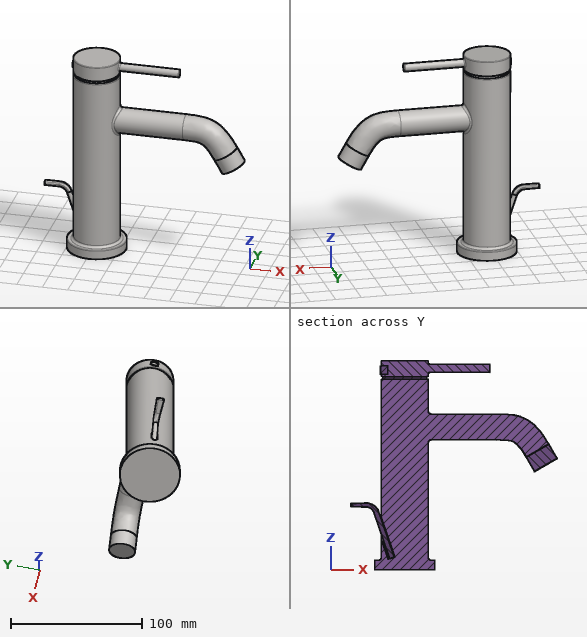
import cadquery as cq
import math

column_radius = 18.0
column_top = 145.5
flange_radius = 23.0
flange_height = 7.7
foot_fillet = 1.9
edge_round = 0.5

total_height = 159.5
neck_radius = 16.9
neck_height = 1.9
cap_bottom = column_top + neck_height

lever_radius = 3.2
lever_height = 153.6
lever_end = 65.0
lever_fillet = 1.0

button_radius = 3.0
button_height = 152.3
button_depth = 4.8
button_proud = 0.5

spout_radius = 10.0
spout_height = 109.0
spout_root_fillet = 1.9
elbow_start = 69.7
elbow_leg = 21.0
elbow_angle = 60
elbow_apex_offset = 3.8
nozzle_length = 12.5

grip_tip = -41.2
grip_height = 49.5
grip_tip_width = 5.9
grip_tip_thickness = 2.5
grip_tip_corner = 1.0
grip_tip_round = 0.6
grip_plan_round = 1.6
grip_root_width = 4.6
grip_root_thickness = 3.2
grip_root_corner = 1.0
bend_corner = -23.6
bend_radius = 8
rod_angle = 71
rod_radius = 2.0
rod_flat = 0.2
rod_length = 36.7
rod_hole_radius = 2.5
rod_hole_offset = 0.4

pick_margin = 0.5

along_x = cq.Vector(1, 0, 0)


def downward(angle):
    """Unit vector in the XZ plane, pointing to +X and turned down by the angle in degrees."""
    return cq.Vector(math.cos(math.radians(angle)), 0, -math.sin(math.radians(angle)))


def bar(start, direction, radius, length):
    """Round bar from a point along a direction."""
    return cq.Workplane(cq.Solid.makeCylinder(radius, length, start, direction))


def disc(bottom, radius, height):
    """Upright disc on the column axis."""
    return cq.Workplane(origin=(0, 0, bottom)).circle(radius).extrude(height)


def round_rims(shape, chosen_faces):
    """Round the edges of the chosen end faces."""
    return shape.faces(chosen_faces).edges().fillet(edge_round)


def fillet_edges_in_box(shape, low, high, radius):
    """Fillet the edges that lie wholly inside a box, given by two opposite corners."""
    low_corner = [value - pick_margin for value in low]
    high_corner = [value + pick_margin for value in high]
    selector = cq.selectors.BoxSelector(low_corner, high_corner, boundingbox=True)
    return shape.edges(selector).fillet(radius)


def fillet_arm_root(shape, arm_height, arm_radius, radius):
    """Fillet the curve where an arm along +X leaves a round wall of the column's radius."""
    low = (0, -arm_radius, arm_height - arm_radius)
    high = (column_radius, arm_radius, arm_height + arm_radius)
    return fillet_edges_in_box(shape, low, high, radius)


elbow_begin = cq.Vector(elbow_start, 0, spout_height)
elbow_corner = elbow_begin + along_x * elbow_leg
nozzle_direction = downward(elbow_angle)
elbow_end = elbow_corner + nozzle_direction * elbow_leg
elbow_apex = elbow_corner + downward(elbow_angle / 2 + 90) * elbow_apex_offset

half_bend = math.radians(rod_angle / 2)
bend_leg = bend_radius * math.tan(half_bend)
bend_apex_offset = bend_radius / math.cos(half_bend) - bend_radius
rod_direction = downward(rod_angle)
grip_end = cq.Vector(grip_tip, 0, grip_height)
bend_vertex = cq.Vector(bend_corner, 0, grip_height)
bend_begin = bend_vertex - along_x * bend_leg
bend_apex = bend_vertex + downward(rod_angle / 2 + 90) * bend_apex_offset
bend_end = bend_vertex + rod_direction * bend_leg


def make_column():
    """Column on its flange, with a fillet round the foot."""
    flange = round_rims(disc(0, flange_radius, flange_height), ">Z")
    column = round_rims(disc(0, column_radius, column_top), ">Z")
    low = (-column_radius, -column_radius, flange_height)
    high = (column_radius, column_radius, flange_height)
    return fillet_edges_in_box(flange.union(column), low, high, foot_fillet)


def make_elbow():
    """Bent end of the spout, swept along a smooth curve."""
    stations = [(point.x, point.z) for point in (elbow_begin, elbow_apex, elbow_end)]
    path = cq.Workplane("XZ").spline(stations, tangents=[(1, 0), (nozzle_direction.x, nozzle_direction.z)])
    return cq.Workplane("YZ", origin=elbow_begin.toTuple()).circle(spout_radius).sweep(path)


def make_rod_hole():
    """Blind hole for the pop-up rod, as deep as the rod and set a little below its axis."""
    offset = downward(rod_angle + 90) * rod_hole_offset
    return bar(bend_end + offset, rod_direction, rod_hole_radius, rod_length)


def make_body():
    """Column and spout in one piece, with the hole for the pop-up rod."""
    spout = bar(cq.Vector(0, 0, spout_height), along_x, spout_radius, elbow_start)
    body = make_column().union(spout)
    body = fillet_arm_root(body, spout_height, spout_radius, spout_root_fillet)
    return body.union(make_elbow()).cut(make_rod_hole())


def make_nozzle():
    """Straight outlet piece on the end of the elbow."""
    return bar(elbow_end, nozzle_direction, spout_radius, nozzle_length)


def make_neck():
    """Ring between the column and the cap."""
    return disc(column_top, neck_radius, neck_height)


def make_button():
    """Round plug in the back of the cap, standing slightly proud."""
    start = cq.Vector(-column_radius - button_proud, 0, button_height)
    return bar(start, along_x, button_radius, button_proud + button_depth)


def make_handle():
    """Cap with its lever, recessed for the button."""
    cap = round_rims(disc(cap_bottom, column_radius, total_height - cap_bottom), "<Z or >Z")
    lever = round_rims(bar(cq.Vector(0, 0, lever_height), along_x, lever_radius, lever_end), ">X")
    handle = fillet_arm_root(cap.union(lever), lever_height, lever_radius, lever_fillet)
    return handle.cut(make_button())


def grip_section(station, direction, width, thickness, corner):
    """Rounded rectangle across the pop-up lever, its width along Y."""
    plane = cq.Plane(station, xDir=(0, 1, 0), normal=direction)
    outline = cq.Workplane(plane).rect(width, thickness).val()
    return outline.fillet2D(corner, outline.Vertices())


def make_grip_plan():
    """Block over the whole grip whose tip corners are round when looked at from above."""
    reach = bend_end.x + rod_radius - grip_tip
    drop = 2 * (grip_height - bend_end.z + rod_radius)
    block = cq.Workplane(origin=(grip_tip + reach / 2, 0, grip_height)).box(reach, grip_tip_width, drop)
    return block.edges("<X and |Z").fillet(grip_plan_round)


def make_popup_lever():
    """Flat grip that narrows through the bend into a round rod."""
    path = (
        cq.Workplane("XZ")
        .moveTo(grip_end.x, grip_end.z)
        .lineTo(bend_begin.x, bend_begin.z)
        .threePointArc((bend_apex.x, bend_apex.z), (bend_end.x, bend_end.z))
    )
    rod_width = 2 * rod_radius
    sections = [
        grip_section(grip_end, along_x, grip_tip_width, grip_tip_thickness, grip_tip_corner),
        grip_section(bend_begin, along_x, grip_root_width, grip_root_thickness, grip_root_corner),
        grip_section(bend_end, rod_direction, rod_width, rod_width, rod_radius - rod_flat),
    ]
    grip = cq.Workplane(cq.Solid.sweep_multi(sections, path.wire().val()))
    grip = grip.faces("<X").edges().fillet(grip_tip_round).intersect(make_grip_plan())
    return grip.union(bar(bend_end, rod_direction, rod_radius, rod_length))


body = make_body()
nozzle = make_nozzle()
neck = make_neck()
handle = make_handle()
button = make_button()
popup_lever = make_popup_lever()

bodies = [body, nozzle, neck, handle, button, popup_lever]
result = cq.Compound.makeCompound([each.solids().val() for each in bodies])